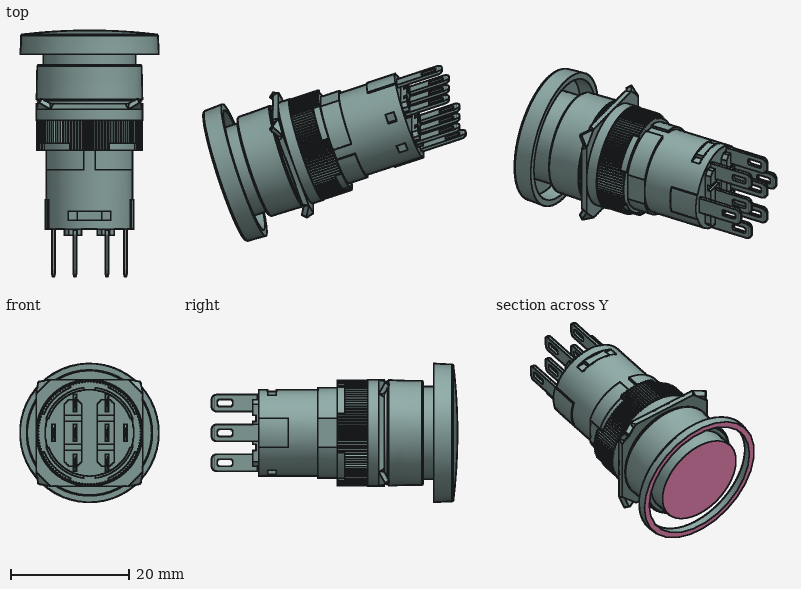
import cadquery as cq
import math


HEAD_RIM_R = 11.75
HEAD_TOP_R = 11.6
HEAD_SHOULDER_DEPTH = 0.95
HEAD_EDGE_DEPTH = 0.7
HEAD_EDGE_R = 11.45
HEAD_END = 4.06
RECESS_R = 10.65
RECESS_FLOOR_R = 10.5
RECESS_DEPTH = 2.75

NECK_R = 15.7 / 2
BEZEL_TOP_R = 17.7 / 2
BEZEL_END_R = 8.97
BEZEL_START = 5.8
BEZEL_END = 11.65
BEZEL_CHAMFER = 0.25
SEAL_R = 17.6 / 2
SEAL_END = 11.9
SPIGOT_R = 16.5 / 2

WASHER_SIDE = 18.0
WASHER_START = 12.38
WASHER_THICKNESS = 0.95
WASHER_END = WASHER_START + WASHER_THICKNESS
FOLD_LEG = 2.4
FOLD_ANGLE = 44.0
CORNER_CLEARANCE = 3
CORNER_TIP_HALF_WIDTH = 0.14

COLLAR_R = 9.0
COLLAR_END = 15.2
NUT_END = 20.3
KNURL_CREST_R = 8.9
KNURL_ROOT_R = 8.6
KNURL_COUNT = 108
NOTCH_START = 19.1
NOTCH_FLOOR_R = 8.3
NOTCH_SPAN = 45.0
NOTCH_OVERCUT = 1.0

SLEEVE_R = 15.4 / 2
SLEEVE_END = 23.6
SLEEVE_FLAT_X = 7.3
KEYWAY_WIDTH = 1.9
BODY_R = 14.6 / 2
BODY_END = 33.6
PAD_R = 15.0 / 2
PAD_START = 28.6
PAD_HEIGHT = 4.9
POCKET_START = 30.6
POCKET_END = 32.1
POCKET_HALF_WIDTH = 3.6
ISLAND_HALF_WIDTH = 2.1
POCKET_FLOOR_Z = math.sqrt(BODY_R**2 - POCKET_HALF_WIDTH**2)
ISLAND_TOP_Z = math.sqrt(BODY_R**2 - ISLAND_HALF_WIDTH**2)

BASE_X = 2.77
BASE_WIDTH = 2.9
BASE_LENGTH = 11.25
BASE_CHAMFER = 0.75
BASE_END = 34.65
GROOVE_WIDTH = 1.0
GROOVE_FLOOR = 34.1
GROOVE_Z = 2.45

TERMINAL_WIDTH = 2.9
TERMINAL_THICKNESS = 0.55
TERMINAL_END = 41.6
TERMINAL_PITCH = 5.04
TERMINAL_CORNER = 0.95
TERMINAL_TIP_LENGTH = 0.5
TERMINAL_TIP_THICKNESS = 0.3
SWITCH_TERMINAL_XS = (-2.45, 2.95)
LAMP_TERMINAL_X = 6.08
OUTER_TERMINAL_START = 33.78
EYE_LENGTH = 2.55
EYE_WIDTH = 1.15
EYE_CORNER = 0.35
EYE_DEPTH = 39.3


def axial(depth):
    """XZ workplane at the given depth; positive extrusion runs towards -Y."""
    return cq.Workplane("XZ", origin=(0, -depth, 0))


def disc(radius, start, end):
    return axial(start).circle(radius).extrude(end - start)


def block(width, height, start, end, x=0.0, z=0.0):
    return axial(start).center(x, z).rect(width, height).extrude(end - start)


def polar(radius, angle):
    return (radius * math.cos(math.radians(angle)), radius * math.sin(math.radians(angle)))


def make_head():
    halfway_drop = HEAD_EDGE_DEPTH / 4
    head = (
        cq.Workplane("XY")
        .threePointArc((HEAD_EDGE_R / 2, -halfway_drop), (HEAD_EDGE_R, -HEAD_EDGE_DEPTH))
        .lineTo(HEAD_TOP_R, -HEAD_SHOULDER_DEPTH)
        .lineTo(HEAD_RIM_R, -HEAD_END)
        .lineTo(0, -HEAD_END)
        .close()
        .revolve(360, (0, 0, 0), (0, 1, 0))
    )
    recess = (
        axial(HEAD_END - RECESS_DEPTH)
        .circle(RECESS_FLOOR_R)
        .workplane(offset=RECESS_DEPTH)
        .circle(RECESS_R)
        .loft()
    )
    return head.cut(recess)


def make_barrel():
    bezel = (
        cq.Workplane("XY")
        .moveTo(0, -BEZEL_START)
        .lineTo(BEZEL_TOP_R - BEZEL_CHAMFER, -BEZEL_START)
        .lineTo(BEZEL_TOP_R, -BEZEL_START - BEZEL_CHAMFER)
        .lineTo(BEZEL_END_R, -BEZEL_END)
        .lineTo(0, -BEZEL_END)
        .close()
        .revolve(360, (0, 0, 0), (0, 1, 0))
    )
    neck = disc(NECK_R, HEAD_END - RECESS_DEPTH, BEZEL_START)
    seal = disc(SEAL_R, BEZEL_END, SEAL_END)
    spigot = disc(SPIGOT_R, SEAL_END, WASHER_START)
    return neck.union(bezel).union(seal).union(spigot)


def make_washer():
    half = WASHER_SIDE / 2
    fold_distance = (half - FOLD_LEG / 2) * math.sqrt(2)
    half_chord = FOLD_LEG / math.sqrt(2)
    tip = half_chord - CORNER_TIP_HALF_WIDTH
    inboard = WASHER_THICKNESS
    flat_outline = [
        (-inboard, -half_chord - inboard),
        (tip, -CORNER_TIP_HALF_WIDTH),
        (tip, CORNER_TIP_HALF_WIDTH),
        (-inboard, half_chord + inboard),
    ]
    corner = cq.Workplane("XZ").polyline(flat_outline).close().extrude(-WASHER_THICKNESS)
    corner = corner.rotate((0, 0, 0), (0, 0, 1), FOLD_ANGLE)
    fold_height = CORNER_CLEARANCE * WASHER_THICKNESS
    mitre = fold_height * math.tan(math.radians(FOLD_ANGLE / 2))
    beyond_fold = (
        cq.Workplane("XY")
        .lineTo(half, 0)
        .lineTo(half, fold_height)
        .lineTo(-mitre, fold_height)
        .close()
        .extrude(half, both=True)
    )
    shift = (fold_distance, -WASHER_END, 0)
    corner = corner.intersect(beyond_fold).translate(shift)
    beyond_fold = beyond_fold.translate(shift)

    washer = block(WASHER_SIDE, WASHER_SIDE, WASHER_START, WASHER_END)
    for quarter in range(4):
        turn = ((0, 0, 0), (0, 1, 0), 45 + 90 * quarter)
        washer = washer.cut(beyond_fold.rotate(*turn)).union(corner.rotate(*turn))
    return washer


def make_nut():
    tooth_angle = 360 / KNURL_COUNT
    outline = []
    for tooth in range(KNURL_COUNT):
        outline.append(polar(KNURL_CREST_R, tooth * tooth_angle))
        outline.append(polar(KNURL_ROOT_R, (tooth + 0.5) * tooth_angle))
    nut = axial(COLLAR_END).polyline(outline).close().extrude(NUT_END - COLLAR_END)

    outside_r = KNURL_CREST_R + NOTCH_OVERCUT
    for quarter in range(4):
        middle = 45 + 90 * quarter
        first = middle - NOTCH_SPAN / 2
        last = middle + NOTCH_SPAN / 2
        notch = (
            axial(NOTCH_START)
            .moveTo(*polar(NOTCH_FLOOR_R, first))
            .threePointArc(polar(NOTCH_FLOOR_R, middle), polar(NOTCH_FLOOR_R, last))
            .lineTo(*polar(outside_r, last))
            .threePointArc(polar(outside_r, middle), polar(outside_r, first))
            .close()
            .extrude(NUT_END - NOTCH_START)
        )
        nut = nut.cut(notch)
    return nut.union(disc(COLLAR_R, WASHER_END, COLLAR_END))


def make_sleeve():
    """Sleeve with a flat on each side and a keyway at top and bottom."""
    sleeve = disc(SLEEVE_R, NUT_END, SLEEVE_END)
    sleeve = sleeve.intersect(block(2 * SLEEVE_FLAT_X, 2 * SLEEVE_R, NUT_END, SLEEVE_END))
    return sleeve.cut(block(KEYWAY_WIDTH, 2 * SLEEVE_R, NUT_END, SLEEVE_END))


def make_body():
    body = disc(BODY_R, NUT_END, BODY_END)
    pads = disc(PAD_R, PAD_START, BODY_END)
    pads = pads.intersect(block(2 * PAD_R, PAD_HEIGHT, PAD_START, BODY_END))
    body = body.union(pads)

    pocket_height = BODY_R - POCKET_FLOOR_Z
    pocket_z = POCKET_FLOOR_Z + pocket_height / 2
    for side, island_top in ((1, ISLAND_TOP_Z), (-1, BODY_R)):
        island_height = island_top - POCKET_FLOOR_Z
        island_z = side * (POCKET_FLOOR_Z + island_height / 2)
        pocket = block(2 * POCKET_HALF_WIDTH, pocket_height, POCKET_START, POCKET_END, z=side * pocket_z)
        island = block(2 * ISLAND_HALF_WIDTH, island_height, POCKET_START, POCKET_END, z=island_z)
        body = body.cut(pocket.cut(island))
    return body


def make_base(x):
    base = block(BASE_WIDTH, BASE_LENGTH, BODY_END, BASE_END, x)
    base = base.edges("|Y").chamfer(BASE_CHAMFER)
    for z in (-GROOVE_Z, GROOVE_Z):
        base = base.cut(block(BASE_WIDTH, GROOVE_WIDTH, GROOVE_FLOOR, BASE_END, x, z))
    return base


def make_terminal(x, z, start=BODY_END):
    length = TERMINAL_END - start
    blade = block(TERMINAL_THICKNESS, TERMINAL_WIDTH, start, TERMINAL_END, x, z)
    blade = blade.edges("|X and <Y").fillet(TERMINAL_CORNER)
    half = TERMINAL_THICKNESS / 2
    half_tip = TERMINAL_TIP_THICKNESS / 2
    profile = (
        cq.Workplane("XY", origin=(x, -start, z))
        .moveTo(-half, 0)
        .lineTo(-half, -length + TERMINAL_TIP_LENGTH)
        .lineTo(-half_tip, -length)
        .lineTo(half_tip, -length)
        .lineTo(half, -length + TERMINAL_TIP_LENGTH)
        .lineTo(half, 0)
        .close()
        .extrude(TERMINAL_WIDTH / 2, both=True)
    )
    eye = (
        cq.Workplane("XY")
        .box(TERMINAL_THICKNESS, EYE_LENGTH, EYE_WIDTH)
        .edges("|X")
        .fillet(EYE_CORNER)
        .translate((x, -EYE_DEPTH, z))
    )
    return blade.intersect(profile).cut(eye)


result = make_head().union(make_barrel()).union(make_washer()).union(make_nut())
result = result.union(make_body()).union(make_sleeve())
for base_x in (-BASE_X, BASE_X):
    result = result.union(make_base(base_x))
for terminal_x in SWITCH_TERMINAL_XS:
    result = result.union(make_terminal(terminal_x, 0))
    for outer_z in (-TERMINAL_PITCH, TERMINAL_PITCH):
        result = result.union(make_terminal(terminal_x, outer_z, OUTER_TERMINAL_START))
for terminal_x in (-LAMP_TERMINAL_X, LAMP_TERMINAL_X):
    result = result.union(make_terminal(terminal_x, 0))